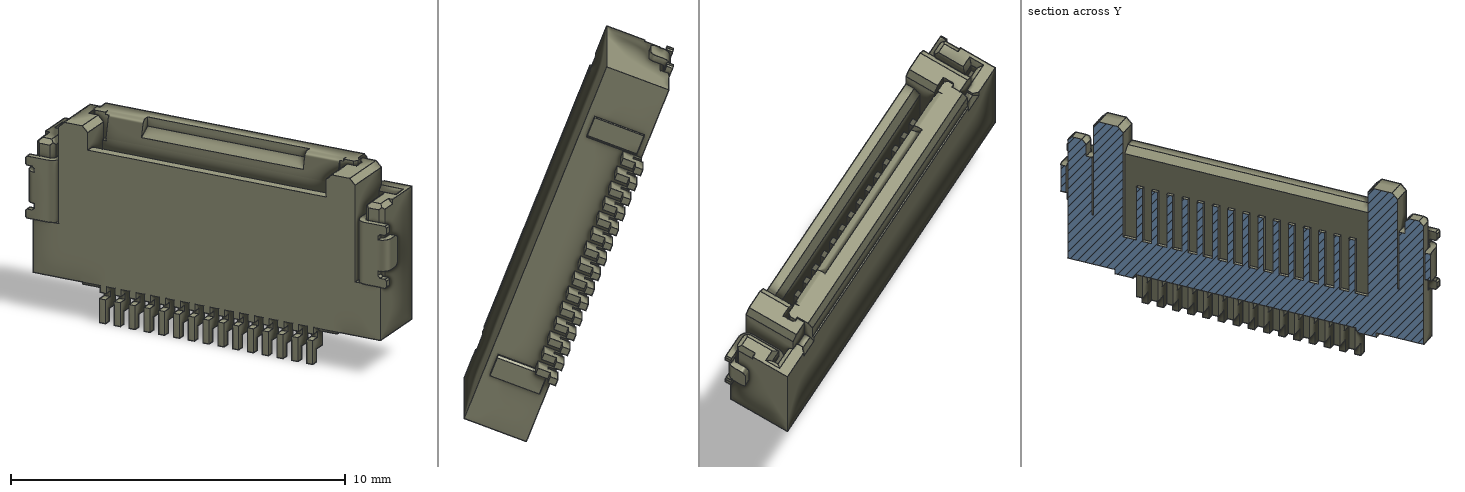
import cadquery as cq


body_half_width = 5.89
body_depth = 2.0
body_height = 4.28

tower_outer_x = 5.03
tower_inner_x = 4.04
tower_height = 5.02
tower_back_y = 1.67
tower_chamfer = 0.18

recess_outer_x = 4.83
recess_flare = 0.13
recess_depth = 0.15

plate_half_width = 4.39
plate_top = 5.11
plate_back_y = 1.95
plate_chamfer = 0.16
plate_front_y = 1.11
lip_half_width = 3.92
lip_front_y = 0.93
lip_bottom = 4.35
round_start_y = 1.26
round_end_y = 1.08
round_drop = 0.13

window_half_width = 2.75
window_back_y = 1.37
window_ledge_z = 4.81
window_bottom = 4.55

gap_outer_x = 4.55
gap_inner_x = 4.48
gap_front_y = 1.0
gap_back_y = 1.41

slot_front_y = 0.5
slot_floor = 1.22
front_wall_chamfer = 0.21

contact_count = 15
contact_pitch = 0.5
contact_width = 0.21
blade_depth = 0.2
blade_top = 3.06
contact_front_y = -0.05
contact_back_y = 0.59
contact_bottom = -1.18
foot_top = -0.4
foot_thickness = 0.25
notch_top = -0.22
notch_depth_y = 0.26
shank_bottom = -0.76

clip_thickness = 0.2
clip_outer_x = 6.12
clip_tower_gap = 0.04
clip_bend_radius = 0.32
clip_back_y = 1.51
clip_arm_end_x = 5.64
clip_bottom = 1.73
clip_top = 3.72
clip_front_y = contact_front_y
ear_height = 0.3
ear_corner = 0.05
window_corner = 0.07
tab_half_height = 0.5
tab_mid_z = 2.75
tab_back_y = 0.66
tab_corner = 0.17
tab_bend_radius = 0.3

lead_in = 0.15
post_corner_chamfer = 0.13
post_outer_chamfer_end_y = 0.77

rib_outer_x = 4.32
rib_inner_x = 3.65
rib_front_y = 0.18
rib_back_y = 1.78
rib_height = 0.15
rib_chamfer = 0.07

clip_web_x = tower_outer_x + clip_tower_gap
clip_inner_x = clip_web_x + clip_thickness
clip_arm_front_y = clip_back_y - clip_thickness
foot_back_y = clip_front_y + clip_thickness


def block(x0, x1, y0, y1, z0, z1):
    """Box between two opposite corners."""
    return cq.Workplane("XY").box(x1 - x0, y1 - y0, z1 - z0, centered=False).translate((x0, y0, z0))


def both_sides(left_part):
    """Left-hand part together with its mirror image."""
    return left_part.union(left_part.mirror("YZ"))


def prism_along_x(profile, half_width):
    """Extrude a closed profile of (y, z) points symmetrically about X = 0."""
    return cq.Workplane("YZ").polyline(profile).close().extrude(half_width, both=True)


def left_tower():
    tower = block(-tower_outer_x, -tower_inner_x, 0, tower_back_y, 0, tower_height)
    return tower.edges("|Y and >Z").chamfer(tower_chamfer)


def left_recess():
    """Shallow recess behind the tower that flares outwards and downwards at the rear face."""
    flare_y = body_depth - recess_flare
    outline = [
        (-plate_half_width, tower_back_y),
        (-recess_outer_x, tower_back_y),
        (-recess_outer_x, flare_y),
        (-recess_outer_x - recess_flare, body_depth),
        (-plate_half_width, body_depth),
    ]
    deepest = recess_depth + recess_flare
    recess = cq.Workplane("XY").workplane(offset=body_height - deepest).polyline(outline).close()
    section = [
        (tower_back_y, body_height),
        (tower_back_y, body_height - recess_depth),
        (flare_y, body_height - recess_depth),
        (body_depth, body_height - deepest),
        (body_depth, body_height),
    ]
    return recess.extrude(deepest).intersect(prism_along_x(section, body_half_width))


def clearance_gap():
    """Stepped slit beside the plate, open towards the card slot."""
    outline = [
        (-gap_outer_x, gap_front_y),
        (-gap_outer_x, gap_back_y - (gap_outer_x - gap_inner_x)),
        (-gap_inner_x, gap_back_y),
        (-gap_inner_x, plate_front_y + (gap_inner_x - plate_half_width)),
        (-plate_half_width, plate_front_y),
        (-lip_half_width, plate_front_y),
        (-lip_half_width, gap_front_y),
    ]
    gap = cq.Workplane("XY").workplane(offset=body_height).polyline(outline).close()
    gap = gap.extrude(plate_top - body_height)
    beside_lip = block(-tower_inner_x, -lip_half_width, lip_front_y, plate_front_y, body_height, plate_top)
    return gap.union(beside_lip)


def rear_plate():
    """Raised plate whose ends step out and forward around the card slot."""
    plate = block(-plate_half_width, plate_half_width, round_start_y, plate_back_y, 0, plate_top)
    plate = plate.edges(">Y and >Z").chamfer(plate_chamfer)
    ends = block(-gap_inner_x, gap_inner_x, plate_front_y, gap_back_y, body_height, plate_top)
    ends = ends.edges("|Z and <Y").chamfer(gap_inner_x - plate_half_width)
    opening = block(
        -tower_inner_x, tower_inner_x, plate_front_y, round_start_y, body_height, plate_top
    )
    return plate.union(ends.cut(opening))


def lip():
    """Rounded lip with a steep lead-in running down into the card slot."""
    return (
        cq.Workplane("YZ")
        .moveTo(gap_back_y, plate_top)
        .lineTo(round_start_y, plate_top)
        .tangentArcPoint((round_end_y, plate_top - round_drop), relative=False)
        .lineTo(lip_front_y, lip_bottom)
        .lineTo(lip_front_y, 0)
        .lineTo(gap_back_y, 0)
        .close()
        .extrude(tower_inner_x, both=True)
    )


def lip_window():
    profile = [
        (window_back_y, plate_top),
        (window_back_y, window_ledge_z),
        (lip_front_y, window_bottom),
        (lip_front_y, plate_top),
    ]
    return prism_along_x(profile, window_half_width)


def card_slot():
    """Slot cavity with a bevelled front wall."""
    cavity = block(-tower_inner_x, tower_inner_x, slot_front_y, lip_front_y, slot_floor, plate_top)
    bevel_profile = [
        (slot_front_y - front_wall_chamfer, body_height),
        (slot_front_y, body_height),
        (slot_front_y, body_height - front_wall_chamfer),
    ]
    return cavity.union(prism_along_x(bevel_profile, tower_inner_x))


def clip_cavity():
    """Space in the left shoulder for the clip and its post."""
    front = block(-clip_outer_x, -tower_outer_x, clip_front_y, clip_arm_front_y, clip_bottom, body_height)
    arm = block(-clip_arm_end_x, -tower_outer_x, 0, clip_back_y, clip_bottom, body_height)
    return front.union(arm)


def arm_lead_in():
    """Flared mouth above the rear arm of the clip."""
    length = 2 * (clip_arm_end_x - tower_outer_x)
    flare = (
        cq.Workplane("XY")
        .workplane(offset=body_height - lead_in)
        .center(-tower_outer_x, (clip_arm_front_y + clip_back_y) / 2)
        .rect(length, clip_thickness)
        .workplane(offset=lead_in)
        .rect(length + 2 * lead_in, clip_thickness + 2 * lead_in)
        .loft(ruled=True)
    )
    return flare.intersect(
        block(-body_half_width, -tower_outer_x, 0, body_depth, 0, body_height)
    )


def clip_post():
    """Post whose front part is bevelled all round and whose rear part only towards the clip."""
    left, right = -body_half_width, -clip_inner_x
    middle = post_outer_chamfer_end_y
    front = block(left, right, foot_back_y, middle, clip_bottom, body_height)
    front = front.faces(">Z").edges("not >Y").chamfer(lead_in)
    front = front.edges("|Z and <Y").chamfer(post_corner_chamfer)
    rear = block(left, right, middle, clip_arm_front_y, clip_bottom, body_height)
    rear = rear.edges(">X and >Z").chamfer(lead_in)
    return front.union(rear)


def left_clip():
    """Bent strip: rear arm, web along the tower and soldering foot with an upturned tab."""
    strip = block(-clip_outer_x, -clip_web_x, clip_front_y, clip_back_y, clip_bottom, clip_top)
    strip = strip.edges("|Z and >X").fillet(clip_bend_radius)
    hollow = block(-clip_outer_x, -clip_inner_x, foot_back_y, clip_arm_front_y, clip_bottom, clip_top)
    hollow = hollow.edges("|Z and >X").fillet(clip_bend_radius - clip_thickness)
    behind_arm = block(
        -clip_outer_x, -clip_arm_end_x, foot_back_y, clip_back_y, clip_bottom, clip_top
    )
    strip = strip.cut(hollow).cut(behind_arm)

    window = block(
        -clip_outer_x,
        -clip_outer_x + tab_bend_radius,
        clip_front_y,
        foot_back_y,
        clip_bottom + ear_height,
        clip_top - ear_height,
    )
    window = window.edges("|Y and >X").chamfer(window_corner)
    strip = strip.cut(window)
    strip = strip.edges("|Y and <X").chamfer(ear_corner)

    tab_bottom = tab_mid_z - tab_half_height
    tab_top = tab_mid_z + tab_half_height
    tab = block(
        -clip_outer_x, -clip_outer_x + 2 * tab_bend_radius, clip_front_y, tab_back_y, tab_bottom, tab_top
    )
    tab = tab.edges("|Z and <X and <Y").fillet(tab_bend_radius)
    tab = tab.edges("|X and >Y").fillet(tab_corner)
    tab_hollow = block(
        -clip_outer_x + clip_thickness, -clip_web_x, foot_back_y, tab_back_y, tab_bottom, tab_top
    )
    tab_hollow = tab_hollow.edges("|Z and <X and <Y").fillet(tab_bend_radius - clip_thickness)
    return strip.union(tab.cut(tab_hollow))


def left_rib():
    rib = block(-rib_outer_x, -rib_inner_x, rib_front_y, rib_back_y, -rib_height, 0)
    return rib.edges("|Y and >X and <Z").chamfer(rib_chamfer)


def contact(x):
    """Blade inside the slot and a stepped soldering tail below the housing."""
    left = x - contact_width / 2
    blade = block(left, left + contact_width, slot_front_y, slot_front_y + blade_depth, 0, blade_top)
    foot_back = contact_front_y + foot_thickness
    tail_profile = [
        (0, 0),
        (contact_back_y, 0),
        (contact_back_y, shank_bottom),
        (foot_back, shank_bottom),
        (foot_back, contact_bottom),
        (contact_front_y, contact_bottom),
        (contact_front_y, foot_top),
        (notch_depth_y, foot_top),
        (notch_depth_y, notch_top),
        (0, notch_top),
    ]
    tail = prism_along_x(tail_profile, contact_width / 2).translate((x, 0, 0))
    return blade.union(tail)


housing = block(-body_half_width, body_half_width, 0, body_depth, 0, body_height)
housing = housing.union(both_sides(left_tower()))
housing = housing.cut(both_sides(left_recess()))
housing = housing.union(rear_plate()).union(lip())
housing = housing.cut(both_sides(clearance_gap()))
housing = housing.cut(lip_window()).cut(card_slot())
housing = housing.cut(both_sides(clip_cavity()))
housing = housing.union(both_sides(clip_post()))
housing = housing.cut(both_sides(arm_lead_in()))

result = housing.union(both_sides(left_clip())).union(both_sides(left_rib()))
for index in range(contact_count):
    result = result.union(contact((index - (contact_count - 1) / 2) * contact_pitch))